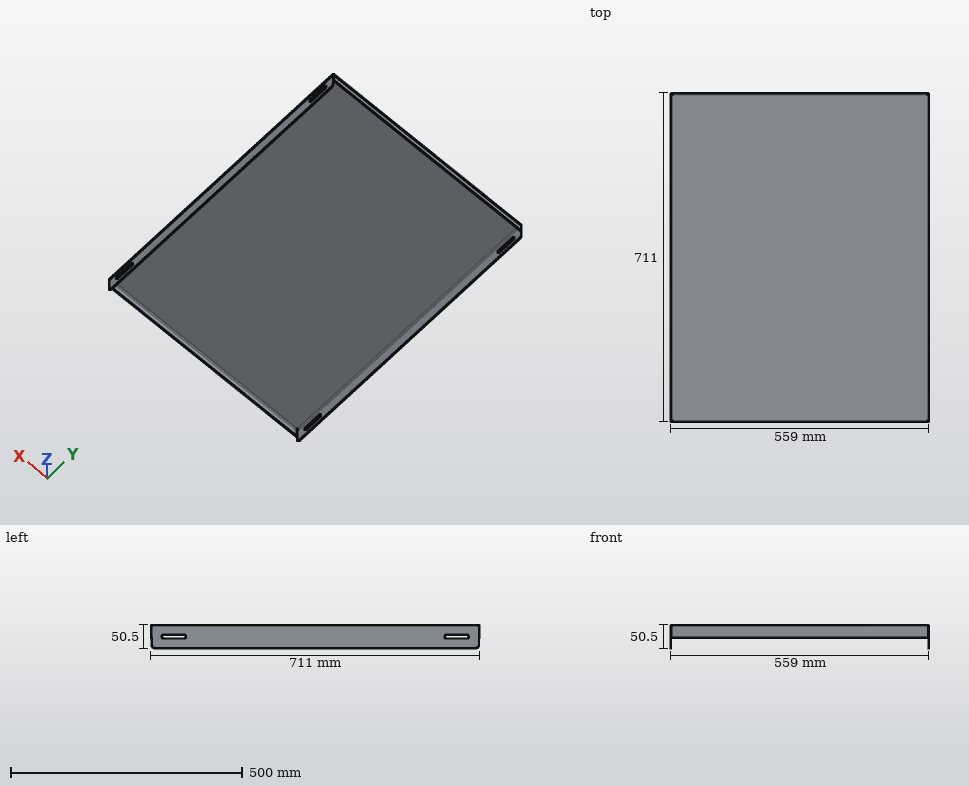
import cadquery as cq

width = 559.0
length = 711.0
height = 50.5
sheet = 1.5
bend_radius = 3.8
end_flange_height = 28.0
side_inset = 1.5
flange_gap = 0.35
corner_radius = 8.0

slot_length = 52.0
slot_height = 8.0
slot_inset = 50.0
slot_drop = height / 2


def folded_edge(plane, half_span, depth, run):
    """Bend and flange that hang from one straight edge of the top sheet.

    The profile starts at the inner end of the bend; half_span is the
    distance from the middle of the shelf to the flange's outer face.
    """
    inner_radius = bend_radius - sheet
    bend_start = half_span - bend_radius
    diagonal = 0.5**0.5
    outer_middle = (
        bend_start + bend_radius * diagonal,
        bend_radius * (diagonal - 1),
    )
    inner_middle = (
        bend_start + inner_radius * diagonal,
        inner_radius * diagonal - bend_radius,
    )
    return (
        cq.Workplane(plane)
        .moveTo(bend_start, 0)
        .threePointArc(outer_middle, (half_span, -bend_radius))
        .lineTo(half_span, -depth)
        .lineTo(half_span - sheet, -depth)
        .lineTo(half_span - sheet, -bend_radius)
        .threePointArc(inner_middle, (bend_start, -sheet))
        .close()
        .extrude(run / 2, both=True)
    )


flat_width = width - 2 * bend_radius
flat_length = length - 2 * bend_radius
top = cq.Workplane("XY").rect(flat_width, flat_length).extrude(-sheet)

side_run = length - 2 * side_inset
end_run = width - 2 * (sheet + flange_gap)
side_flange = folded_edge("XZ", width / 2, height, side_run)
side_flange = side_flange.edges("|X and <Z").fillet(corner_radius)
end_flange = folded_edge("YZ", length / 2, end_flange_height, end_run)

result = top.union(side_flange).union(side_flange.mirror("YZ"))
result = result.union(end_flange).union(end_flange.mirror("XZ"))

slot_offset = length / 2 - slot_inset
slots = (
    cq.Workplane("YZ", origin=(0, 0, -slot_drop))
    .pushPoints([(-slot_offset, 0), (slot_offset, 0)])
    .slot2D(slot_length, slot_height)
    .extrude(width, both=True)
)
result = result.cut(slots)